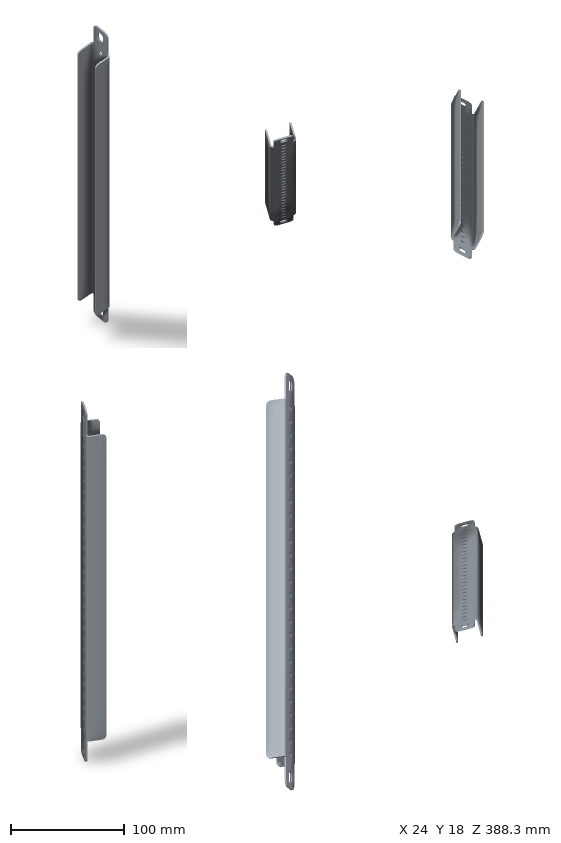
import cadquery as cq

length = 388.3
width = 24.0
depth = 18.0
thickness = 1.5
bend_radius = 2.7

tab_width = 18.0
tab_length = 26.5
tab_corner_radius = 5.0
flange_length = length - 2 * tab_length
flange_corner_radius = 4.0

hole_count = 27
hole_row_length = 325.0
hole_pitch = hole_row_length / (hole_count - 1)
hole_diameter = 4.5

slot_width = 6.5
slot_length = 11.0
slot_corner_radius = 2.7
slot_end_distance = 10.5

web_back = depth / 2


def channel():
    """U-shaped section with rounded bends, open toward -Y."""
    outer = (
        cq.Workplane("XY")
        .box(width, depth, flange_length)
        .edges("|Z and >Y")
        .fillet(bend_radius)
    )
    inner = (
        cq.Workplane("XY")
        .box(width - 2 * thickness, depth, flange_length)
        .translate((0, -thickness, 0))
        .edges("|Z and >Y")
        .fillet(bend_radius - thickness)
    )
    body = outer.cut(inner)
    return body.edges("|X and <Y").fillet(flange_corner_radius)


def web_strip():
    """Flat strip with rounded corners that forms the web and both tabs."""
    return (
        cq.Workplane("XY")
        .box(tab_width, thickness, length)
        .edges("|Y")
        .fillet(tab_corner_radius)
        .translate((0, web_back - thickness / 2, 0))
    )


def web_cutters():
    """Cutters for the hole row and the two upright slots."""
    slot_height = length / 2 - slot_end_distance
    web_plane = cq.Workplane("XZ", origin=(0, web_back, 0))
    holes = web_plane.rarray(4, hole_pitch, 1, hole_count).circle(hole_diameter / 2).extrude(thickness)
    slots = (
        web_plane.pushPoints([(0, -slot_height), (0, slot_height)])
        .rect(slot_width, slot_length)
        .extrude(thickness)
        .edges("|Y")
        .fillet(slot_corner_radius)
    )
    return holes.union(slots)


result = channel().union(web_strip()).cut(web_cutters())